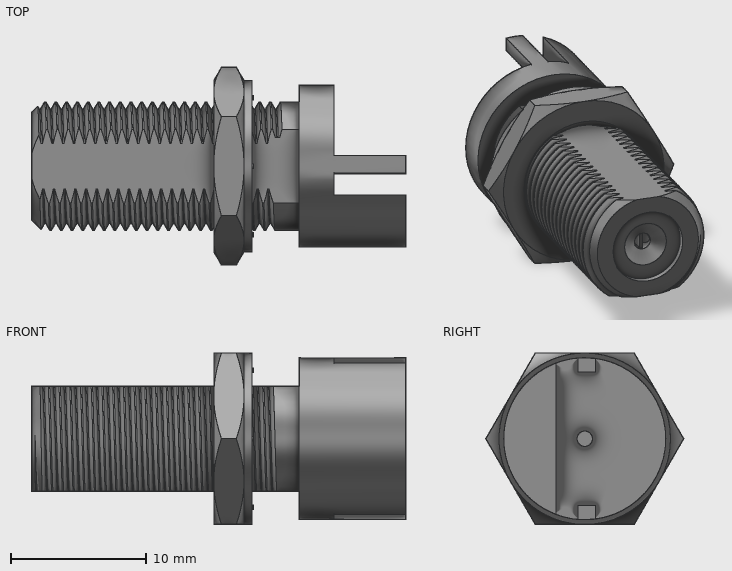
import cadquery as cq
import math


overall_length = 27.7

barrel_length = 19.81
thread_diameter = 9.525
thread_pitch = 25.4 / 32
thread_root_diameter = 8.5
groove_root_width = 0.1
groove_half_angle = 30
groove_clearance = 0.05
groove_phase = 0.6035
lead_in_turns = 2
groove_turns = 24.17
barrel_across_flats = 7.8
barrel_nose_diameter = 8.0
trim_margin = 1.0

insulator_diameter = 5.5
insulator_recess = 0.5
funnel_diameter = 3.3
funnel_depth = 0.65
contact_hole_diameter = 1.25
contact_hole_depth = 1.5
contact_plate_depth = 0.2
contact_plate_min_y = -0.1
contact_plate_max_y = 0.16

nut_start = 13.48
nut_thickness = 2.24
nut_across_flats = 12.7
nut_chamfer_angle = 30
hexagon_half_angle = 30
nut_bore_diameter = 8.4
nut_countersink_diameter = 9.45

washer_diameter = nut_across_flats
washer_thickness = 0.6
bump_count = 4
bump_diameter = 0.35
bump_height = 0.1
bump_circle_radius = 5.07

body_diameter = 12.0
flange_thickness = 2.59
leg_start = barrel_length + flange_thickness
leg_length = overall_length - leg_start
block_edge_y = -2.13
post_min_y = -0.5
post_max_y = 0.8
post_height = 1.05
pin_diameter = 1.14


def rod(start, length, diameter):
    """Cylinder along +X on the part axis."""
    return cq.Workplane("YZ").workplane(offset=start).circle(diameter / 2).extrude(length)


def box(x_range, y_range, z_range):
    """Axis-aligned box given by its lower and upper limits."""
    sizes = [high - low for low, high in (x_range, y_range, z_range)]
    corner = (x_range[0], y_range[0], z_range[0])
    return cq.Workplane("XY").box(*sizes, centered=False).translate(corner)


def turned(points):
    """Solid of revolution about X from (x, radius) points."""
    return cq.Workplane("XY").polyline(points).close().revolve(360, (0, 0, 0), (1, 0, 0))


def thread_groove():
    """Right-handed helical groove with sloping flanks and a narrow flat root."""
    root_radius = thread_root_diameter / 2
    outer_radius = thread_diameter / 2 + groove_clearance
    root_half = groove_root_width / 2
    outer_half = root_half + (outer_radius - root_radius) * math.tan(math.radians(groove_half_angle))
    helix = cq.Wire.makeHelix(thread_pitch, groove_turns * thread_pitch, root_radius)
    groove = (
        cq.Workplane("XZ")
        .polyline([
            (root_radius, -root_half),
            (outer_radius, -outer_half),
            (outer_radius, outer_half),
            (root_radius, root_half),
        ])
        .close()
        .sweep(cq.Workplane(obj=helix), isFrenet=True)
    )
    groove = groove.rotate((0, 0, 0), (1, 1, 1), 120)
    return groove.translate((groove_phase - lead_in_turns * thread_pitch, 0, 0))


def barrel():
    """Threaded rod, trimmed to two flats and to a conical nose."""
    overrun = 2 * lead_in_turns * thread_pitch
    threaded = rod(-overrun, overrun + barrel_length, thread_diameter).cut(thread_groove())
    half_flats = barrel_across_flats / 2
    half_width = thread_diameter / 2 + trim_margin
    flats = box((0, barrel_length), (-half_width, half_width), (-half_flats, half_flats))
    nose_radius = barrel_nose_diameter / 2
    taper_length = half_width - nose_radius
    nose = turned([
        (0, 0),
        (0, nose_radius),
        (taper_length, half_width),
        (barrel_length, half_width),
        (barrel_length, 0),
    ])
    return threaded.intersect(flats).intersect(nose)


def contact_opening():
    """Insulator recess, funnel and contact hole, cut from the mating face."""
    funnel_end = insulator_recess + funnel_depth
    hole_end = funnel_end + contact_hole_depth
    hole_radius = contact_hole_diameter / 2
    opening = turned([
        (0, 0),
        (0, insulator_diameter / 2),
        (insulator_recess, insulator_diameter / 2),
        (insulator_recess, funnel_diameter / 2),
        (funnel_end, hole_radius),
        (hole_end, hole_radius),
        (hole_end, 0),
    ])
    plate_start = funnel_end + contact_plate_depth
    contact = (
        cq.Workplane("XY")
        .polyline([
            (hole_end, contact_plate_max_y),
            (plate_start, contact_plate_max_y),
            (plate_start, contact_plate_min_y),
            (hole_end, contact_plate_min_y),
            (plate_start, -hole_radius),
            (hole_end, -hole_radius),
        ])
        .close()
        .extrude(hole_radius, both=True)
    )
    return opening.cut(contact)


def nut():
    """Hexagon with flats facing +Z and -Z, chamfered corners and a countersunk bore."""
    hexagon = (
        cq.Workplane("YZ")
        .workplane(offset=nut_start)
        .transformed(rotate=(0, 0, hexagon_half_angle))
        .polygon(6, nut_across_flats, circumscribed=True)
        .extrude(nut_thickness)
    )
    face_radius = nut_across_flats / 2
    corner_radius = face_radius / math.cos(math.radians(hexagon_half_angle))
    corner_drop = (corner_radius - face_radius) * math.tan(math.radians(nut_chamfer_angle))
    nut_end = nut_start + nut_thickness
    chamfer_envelope = turned([
        (nut_start, 0),
        (nut_start, face_radius),
        (nut_start + corner_drop, corner_radius),
        (nut_end - corner_drop, corner_radius),
        (nut_end, face_radius),
        (nut_end, 0),
    ])
    bore = rod(nut_start, nut_thickness, nut_bore_diameter)
    countersink_depth = (nut_countersink_diameter - nut_bore_diameter) / 2
    countersink = turned([
        (nut_start, 0),
        (nut_start, nut_countersink_diameter / 2),
        (nut_start + countersink_depth, nut_bore_diameter / 2),
        (nut_start + countersink_depth, 0),
    ])
    return hexagon.intersect(chamfer_envelope).cut(bore).cut(countersink)


def washer():
    """Flat ring with small round bumps on its rear face."""
    start = nut_start + nut_thickness
    ring = rod(start, washer_thickness, washer_diameter)
    ring = ring.cut(rod(start, washer_thickness, nut_bore_diameter))
    bumps = (
        cq.Workplane("YZ")
        .workplane(offset=start)
        .polarArray(bump_circle_radius, 0, 360, bump_count)
        .circle(bump_diameter / 2)
        .extrude(washer_thickness + bump_height)
    )
    return ring.union(bumps)


def rear_body():
    """Round flange carrying a side block, two posts and the centre pin."""
    radius = body_diameter / 2
    flange = rod(barrel_length, flange_thickness, body_diameter)
    leg_range = (leg_start, overall_length)
    leg_shapes = box(leg_range, (-radius, block_edge_y), (-radius, radius))
    post_base = radius - post_height
    for z_range in ((post_base, radius), (-radius, -post_base)):
        leg_shapes = leg_shapes.union(box(leg_range, (post_min_y, post_max_y), z_range))
    legs = rod(leg_start, leg_length, body_diameter).intersect(leg_shapes)
    pin = rod(leg_start, leg_length, pin_diameter)
    return flange.union(legs).union(pin)


result = barrel().cut(contact_opening()).union(nut()).union(washer()).union(rear_body())